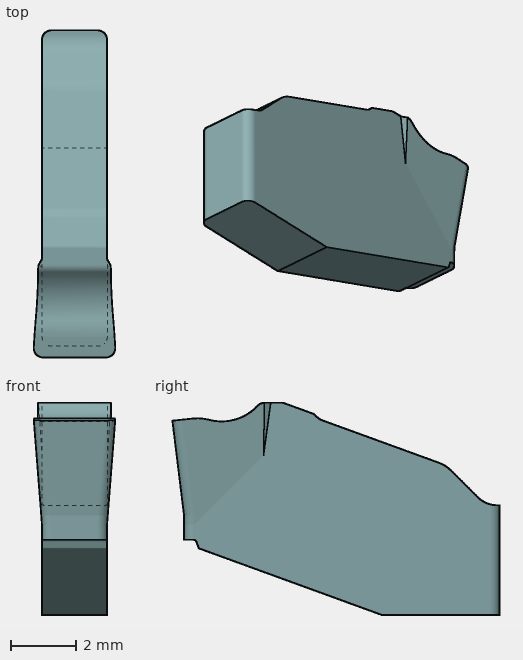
import cadquery as cq
import math


length = 10.01
body_width = 2.0
edge_width = 2.5
top_z = 6.5
corner_radius = 0.3

edge_z = 5.95
clearance_angle = 7
clearance_end_z = 3.05

shelf_z = 2.3
shelf_end_y = 0.715
shelf_radius = 0.08
heel_angle = 70
heel_radius = 0.06
base_start_y = 6.42

land_angle = 6
crest_y = 0.88
crest_radius = 1.34
rise_angle = 15
bowl_corner_y = 1.958
bowl_radius = 1.5
ramp_angle = 45
ramp_top_radius = 0.3

slope_angle = 20
slope_start_y = 3.38
slope_start_radius = 0.2
step_depth = 0.1
step_angle = 50
step_y = 4.34
step_top_radius = 0.2
step_bottom_radius = 0.5
shoulder_y = 8.36
shoulder_radius = 1.0
foot_y = 9.569
foot_radius = 0.84
rear_land_angle = 2

flank_taper_angle = 4
flank_end_y = 2.79
flank_end_z = 4.89
facet_top_y = 3.01
facet_angle = 30

flank_reach = 0.4
flank_root = 0.5
head_front_y = -1.0
head_top_z = 8.0


def tan(angle):
    return math.tan(math.radians(angle))


def towards(start, end, distance):
    """Point at the given distance from start on the way to end."""
    span = math.dist(start, end)
    return tuple(s + (e - s) * distance / span for s, e in zip(start, end))


front_foot_y = (edge_z - clearance_end_z) * tan(clearance_angle)


def rounded_outline(corners):
    """Closed YZ outline through (y, z, radius) corners; radius 0 leaves a corner sharp."""
    outline = cq.Workplane("YZ").moveTo(*corners[0][:2])
    for index in range(1, len(corners)):
        y, z, radius = corners[index]
        corner = (y, z)
        if radius == 0:
            outline = outline.lineTo(y, z)
            continue
        before = corners[index - 1][:2]
        after = corners[(index + 1) % len(corners)][:2]
        heading_in = math.atan2(z - before[1], y - before[0])
        heading_out = math.atan2(after[1] - z, after[0] - y)
        half_turn = abs(math.remainder(heading_out - heading_in, math.tau)) / 2
        setback = radius * math.tan(half_turn)
        arc_start = towards(corner, before, setback)
        arc_end = towards(corner, after, setback)
        chord_middle = tuple((s + e) / 2 for s, e in zip(arc_start, arc_end))
        arc_middle = towards(corner, chord_middle, radius / math.cos(half_turn) - radius)
        outline = outline.lineTo(*arc_start).threePointArc(arc_middle, arc_end)
    return outline.close()


def side_profile():
    """Side outline, from the cutting edge over the top to the rear and back underneath."""
    crest_z = edge_z + crest_y * tan(land_angle)
    bowl_corner_z = crest_z - (bowl_corner_y - crest_y) * tan(rise_angle)
    ramp_top_y = bowl_corner_y + (top_z - bowl_corner_z) / tan(ramp_angle)

    step_top_z = top_z - (step_y - slope_start_y) * tan(slope_angle)
    step_run = step_depth / (tan(step_angle) - tan(slope_angle))
    step_bottom_y = step_y + step_run
    step_bottom_z = step_top_z - step_run * tan(step_angle)
    shoulder_z = step_bottom_z - (shoulder_y - step_bottom_y) * tan(slope_angle)
    foot_z = shoulder_z - (foot_y - shoulder_y) * tan(ramp_angle)
    rear_z = foot_z - (length - foot_y) * tan(rear_land_angle)

    heel_run = base_start_y - shelf_end_y - shelf_z / tan(slope_angle)
    heel_y = shelf_end_y + heel_run * tan(slope_angle) / (tan(slope_angle) - tan(heel_angle))
    heel_z = (base_start_y - heel_y) * tan(slope_angle)

    return rounded_outline([
        (0, edge_z, 0),
        (crest_y, crest_z, crest_radius),
        (bowl_corner_y, bowl_corner_z, bowl_radius),
        (ramp_top_y, top_z, ramp_top_radius),
        (slope_start_y, top_z, slope_start_radius),
        (step_y, step_top_z, step_top_radius),
        (step_bottom_y, step_bottom_z, step_bottom_radius),
        (shoulder_y, shoulder_z, shoulder_radius),
        (foot_y, foot_z, foot_radius),
        (length, rear_z, 0),
        (length, 0, 0),
        (base_start_y, 0, 0),
        (heel_y, heel_z, heel_radius),
        (shelf_end_y, shelf_z, shelf_radius),
        (front_foot_y, shelf_z, 0),
        (front_foot_y, clearance_end_z, 0),
    ])


def profile_prism(width):
    return side_profile().extrude(width / 2, both=True)


def flank_section(offset):
    """YZ corners of the flank wedge at the given distance outside the body side."""
    flank_shift = offset / tan(flank_taper_angle)
    facet_shift = offset / tan(facet_angle)
    facet_lean = (facet_top_y - flank_end_y) / (top_z - flank_end_z)
    flank_limit = flank_end_z - flank_end_y + flank_shift
    facet_limit = flank_end_y - facet_lean * flank_end_z - facet_shift
    apex_y = (facet_limit + facet_lean * flank_limit) / (1 - facet_lean)
    return [
        (apex_y, apex_y + flank_limit),
        (facet_limit + facet_lean * head_top_z, head_top_z),
        (head_front_y, head_top_z),
        (head_front_y, head_front_y + flank_limit),
    ]


def flat_face(points):
    return cq.Face.makeFromWires(cq.Wire.makePolygon(points, close=True))


def head_flank():
    """Flat-faced wedge, rooted inside the body, that widens the head on the +X side."""
    root = [cq.Vector(body_width / 2 - flank_root, y, z) for y, z in flank_section(-flank_root)]
    tip = [cq.Vector(body_width / 2 + flank_reach, y, z) for y, z in flank_section(flank_reach)]
    faces = [flat_face(root), flat_face(tip)]
    for index in range(len(root)):
        faces.append(flat_face([root[index - 1], root[index], tip[index], tip[index - 1]]))
    return cq.Workplane(cq.Solid.makeSolid(cq.Shell.makeShell(faces)))


def round_front_corner(solid, side):
    """Round the upright front corner on the +X (side = 1) or -X (side = -1) side."""
    inner_x = side * (body_width - corner_radius) / 2
    outer_x = side * edge_width
    lowest = (inner_x, -corner_radius, 0)
    highest = (outer_x, front_foot_y + corner_radius / 10, edge_z - corner_radius)
    corner_edges = solid.edges(cq.selectors.BoxSelector(lowest, highest))
    return corner_edges.fillet(corner_radius)


def rounded_body():
    """Plate of constant width with its upright front and rear corners rounded."""
    body = profile_prism(body_width)
    body = body.edges("|Z").edges(">Y").fillet(corner_radius)
    for side in (1, -1):
        body = round_front_corner(body, side)
    return body


def rounded_flank():
    """Part of the head flank within the side profile, its front corner rounded."""
    head_stock = profile_prism(edge_width + 2 * flank_reach)
    return round_front_corner(head_flank().intersect(head_stock), 1)


flank = rounded_flank()
result = rounded_body().union(flank).union(flank.mirror("YZ"))